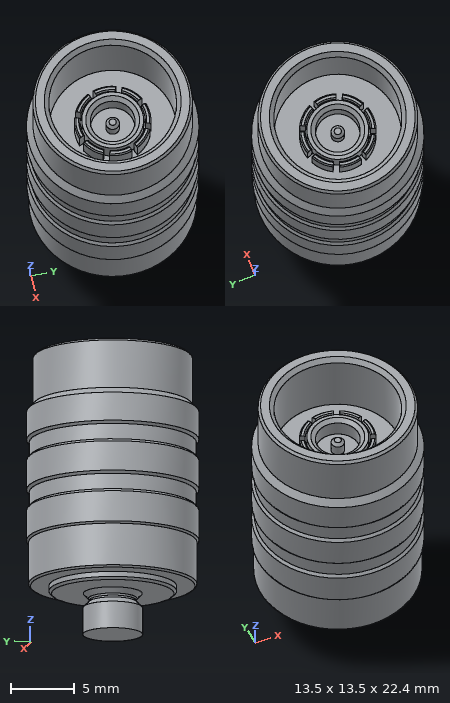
import cadquery as cq

total_height = 22.4

collar_diameter = 12.5
band_diameter = 13.5
groove_diameter = 13.08
skirt_diameter = 13.2
collar_length = 4.0
edge_chamfer = 0.2
skirt_chamfer = 0.15
groove_depths = (6.76, 10.77)
groove_width = 1.65
skirt_depth = 14.85
sleeve_end_depth = 18.5

flange_diameter = 10.0
flange_end_depth = 19.1
neck_top_diameter = 4.61
neck_diameter = 3.8
waist_diameter = 3.7
neck_length = 0.31
stem_diameter = 4.7

bore_diameter = 10.0
bore_depth = 5.0
bore_chamfer = 0.35

contact_diameter = 4.84
contact_top_depth = 3.5
socket_diameter = 3.5
socket_chamfer_width = 0.35
socket_chamfer_height = 0.27

pin_diameter = 1.05
pin_tip_diameter = 0.55
pin_tip_depth = 3.88

finger_count = 8
finger_outer_diameter = 6.0
finger_inner_diameter = 5.1
finger_top_depth = 3.56
finger_slot_width = 0.5
finger_chamfer = 0.11


def level(depth):
    """Z of a point lying the given depth below the rim."""
    return total_height - depth


def revolve_profile(points):
    """Solid of revolution about Z from (radius, z) points."""
    return cq.Workplane("XZ").polyline(points).close().revolve(360, (0, 0, 0), (0, 1, 0))


def groove_points(start_depth):
    """Groove profile with both walls sloping at 45 degrees."""
    band_radius = band_diameter / 2
    groove_radius = groove_diameter / 2
    wall = band_radius - groove_radius
    end_depth = start_depth + groove_width
    return [
        (band_radius, level(start_depth)),
        (groove_radius, level(start_depth + wall)),
        (groove_radius, level(end_depth - wall)),
        (band_radius, level(end_depth)),
    ]


def make_body():
    collar_radius = collar_diameter / 2
    band_radius = band_diameter / 2
    skirt_radius = skirt_diameter / 2
    flange_radius = flange_diameter / 2
    neck_radius = neck_diameter / 2
    stem_radius = stem_diameter / 2

    shoulder = band_radius - collar_radius
    skirt_step = band_radius - skirt_radius
    neck_start_depth = flange_end_depth + (neck_top_diameter - neck_diameter) / 2
    neck_end_depth = neck_start_depth + neck_length
    stem_depth = neck_end_depth + stem_radius - neck_radius

    profile = [
        (0, level(0)),
        (collar_radius - edge_chamfer, level(0)),
        (collar_radius, level(edge_chamfer)),
        (collar_radius, level(collar_length)),
        (band_radius, level(collar_length + shoulder)),
    ]
    for depth in groove_depths:
        profile += groove_points(depth)
    profile += [
        (band_radius, level(skirt_depth)),
        (skirt_radius, level(skirt_depth + skirt_step)),
        (skirt_radius, level(sleeve_end_depth - skirt_chamfer)),
        (skirt_radius - skirt_chamfer, level(sleeve_end_depth)),
        (flange_radius, level(sleeve_end_depth)),
        (flange_radius, level(flange_end_depth - edge_chamfer)),
        (flange_radius - edge_chamfer, level(flange_end_depth)),
        (neck_top_diameter / 2, level(flange_end_depth)),
        (neck_radius, level(neck_start_depth)),
        (waist_diameter / 2, level((neck_start_depth + neck_end_depth) / 2)),
        (neck_radius, level(neck_end_depth)),
        (stem_radius, level(stem_depth)),
        (stem_radius, 0),
        (0, 0),
    ]
    return revolve_profile(profile)


def make_bore():
    radius = bore_diameter / 2
    return revolve_profile([
        (0, level(0)),
        (radius + bore_chamfer, level(0)),
        (radius, level(bore_chamfer)),
        (radius, level(bore_depth)),
        (0, level(bore_depth)),
    ])


def make_contact_sleeve():
    outer_radius = contact_diameter / 2
    socket_radius = socket_diameter / 2
    return revolve_profile([
        (socket_radius, level(bore_depth)),
        (outer_radius, level(bore_depth)),
        (outer_radius, level(contact_top_depth)),
        (socket_radius + socket_chamfer_width, level(contact_top_depth)),
        (socket_radius, level(contact_top_depth + socket_chamfer_height)),
    ])


def make_pin():
    radius = pin_diameter / 2
    tip_radius = pin_tip_diameter / 2
    return revolve_profile([
        (0, level(bore_depth)),
        (radius, level(bore_depth)),
        (radius, level(pin_tip_depth + radius - tip_radius)),
        (tip_radius, level(pin_tip_depth)),
        (0, level(pin_tip_depth)),
    ])


def make_fingers():
    outer_radius = finger_outer_diameter / 2
    inner_radius = finger_inner_diameter / 2
    ring = revolve_profile([
        (inner_radius, level(bore_depth)),
        (outer_radius, level(bore_depth)),
        (outer_radius, level(finger_top_depth + finger_chamfer)),
        (outer_radius - finger_chamfer, level(finger_top_depth)),
        (inner_radius + finger_chamfer, level(finger_top_depth)),
        (inner_radius, level(finger_top_depth + finger_chamfer)),
    ])
    pitch = 360 / finger_count
    slot_height = bore_depth - finger_top_depth
    slot = cq.Workplane("XY").box(
        2 * finger_outer_diameter, finger_slot_width, slot_height, centered=(True, True, False)
    ).translate((0, 0, level(bore_depth)))
    for i in range(finger_count // 2):
        ring = ring.cut(slot.rotate((0, 0, 0), (0, 0, 1), (i + 0.5) * pitch))
    return ring


result = make_body().cut(make_bore())
for insert in (make_contact_sleeve(), make_pin(), make_fingers()):
    result = result.union(insert)